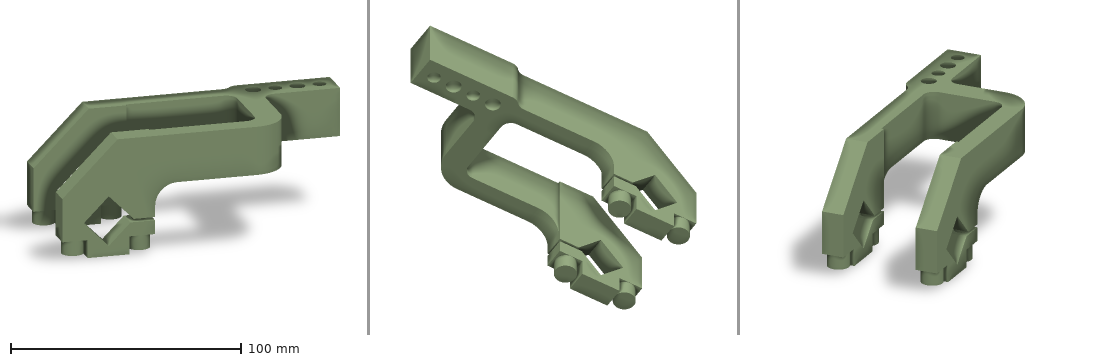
import cadquery as cq
import math

total_width = 58.5
total_length = 138.0
total_height = 53.0
beam_height = 22.0

bar_width = 16.0
bar_hole_x = bar_width / 2
bar_hole_end_distance = 7.0
bar_hole_pitch = 10.0
bar_hole_diameters = (6.0, 7.0, 6.0, 7.0)

arm_offset = 3.5
arm_width = 9.0
pad_width = 10.2
cross_beam_inner_y = 91.0
cross_beam_width = 12.0
inner_radius = 5.0
outer_radius = 15.0
joggle_mid_y = 92.0

clamp_length = 42.0
nose_chamfer = 25.0
throat_radius = 10.0
tube_side = 16.0
tube_tilt = 45.0
tube_y = clamp_length / 2
tube_z = -37.0
slot_height = 1.5
flange_z = -44.8
boss_length = 19.0

screw_spacing = 30.0
screw_head_diameter = 10.0
screw_shank_diameter = 6.0
screw_head_height = 6.75

left_arm_inner_x = arm_offset + arm_width
left_pad_inner_x = arm_offset + pad_width
right_arm_inner_x = total_width - arm_width
right_pad_inner_x = total_width - pad_width
pad_center_xs = (arm_offset + pad_width / 2, total_width - pad_width / 2)
cross_beam_outer_y = cross_beam_inner_y + cross_beam_width


def joggle_half_length():
    """Y length of each of the two equal arcs that step the bar side over to the arm."""
    return math.sqrt(inner_radius**2 - (inner_radius - arm_offset / 2) ** 2)


def fork_plan():
    """Bar and two-armed fork in plan, extruded through the full height."""
    arc_length = joggle_half_length()
    outline = (
        cq.Workplane("XY")
        .moveTo(arm_offset, 0)
        .lineTo(left_pad_inner_x, 0)
        .lineTo(left_pad_inner_x, clamp_length)
        .lineTo(left_arm_inner_x, clamp_length)
        .lineTo(left_arm_inner_x, cross_beam_inner_y - inner_radius)
        .radiusArc((left_arm_inner_x + inner_radius, cross_beam_inner_y), inner_radius)
        .lineTo(right_arm_inner_x - inner_radius, cross_beam_inner_y)
        .radiusArc((right_arm_inner_x, cross_beam_inner_y - inner_radius), inner_radius)
        .lineTo(right_arm_inner_x, clamp_length)
        .lineTo(right_pad_inner_x, clamp_length)
        .lineTo(right_pad_inner_x, 0)
        .lineTo(total_width, 0)
        .lineTo(total_width, cross_beam_outer_y - outer_radius)
        .radiusArc((total_width - outer_radius, cross_beam_outer_y), -outer_radius)
        .lineTo(bar_width + inner_radius, cross_beam_outer_y)
        .radiusArc((bar_width, cross_beam_outer_y + inner_radius), inner_radius)
        .lineTo(bar_width, total_length)
        .lineTo(0, total_length)
        .lineTo(0, joggle_mid_y + arc_length)
        .radiusArc((arm_offset / 2, joggle_mid_y), -inner_radius)
        .radiusArc((arm_offset, joggle_mid_y - arc_length), inner_radius)
        .close()
    )
    return outline.extrude(-total_height)


def side_profile():
    """Side outline of beam and clamp jaw, extruded across the full width."""
    boss_front_y = tube_y - boss_length / 2
    boss_back_y = tube_y + boss_length / 2
    outline = (
        cq.Workplane("YZ")
        .moveTo(total_length, 0)
        .lineTo(nose_chamfer, 0)
        .lineTo(0, -nose_chamfer)
        .lineTo(0, flange_z)
        .lineTo(boss_front_y, flange_z)
        .lineTo(boss_front_y, -total_height)
        .lineTo(boss_back_y, -total_height)
        .lineTo(boss_back_y, flange_z)
        .lineTo(clamp_length, flange_z)
        .lineTo(clamp_length, -beam_height - throat_radius)
        .radiusArc((clamp_length + throat_radius, -beam_height), throat_radius)
        .lineTo(total_length, -beam_height)
        .close()
    )
    return outline.extrude(total_width)


def tube_opening():
    """Square tube passage standing on its corner, through both jaws."""
    return (
        cq.Workplane("YZ")
        .center(tube_y, tube_z)
        .transformed(rotate=(0, 0, tube_tilt))
        .rect(tube_side, tube_side)
        .extrude(total_width)
    )


def clamp_slot():
    """Slit from the tube passage out through the back of both jaws."""
    slot_length = clamp_length - tube_y
    slot = cq.Workplane("XY").box(total_width, slot_length, slot_height, centered=False)
    return slot.translate((0, tube_y, tube_z - slot_height))


def bar_holes():
    """Row of alternating vertical through holes along the mounting bar."""
    first_y = total_length - bar_hole_end_distance
    holes = cq.Workplane("XY")
    for index, diameter in enumerate(bar_hole_diameters):
        y = first_y - index * bar_hole_pitch
        hole = cq.Workplane("XY").center(bar_hole_x, y).circle(diameter / 2).extrude(-beam_height)
        holes = holes.add(hole)
    return holes.combine()


def clamp_screw(x, y):
    """Screw head under the flange, with its shank reaching up across the slot level."""
    seat = cq.Workplane("XY", origin=(x, y, flange_z))
    head = seat.circle(screw_head_diameter / 2).extrude(-screw_head_height)
    shank = seat.circle(screw_shank_diameter / 2).extrude(tube_z - flange_z)
    return head.union(shank)


result = fork_plan().intersect(side_profile())
result = result.cut(tube_opening()).cut(clamp_slot()).cut(bar_holes())
for screw_x in pad_center_xs:
    for screw_y in (tube_y - screw_spacing / 2, tube_y + screw_spacing / 2):
        result = result.union(clamp_screw(screw_x, screw_y))